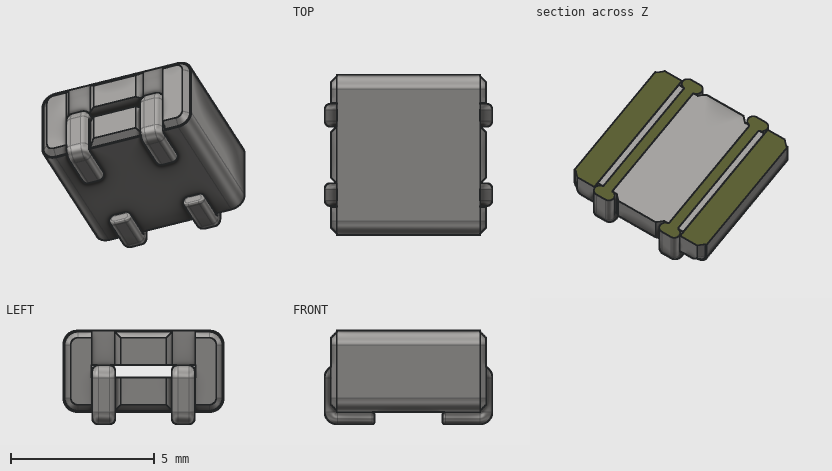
import cadquery as cq
import math

core_length = 5.0
core_width = 5.6
core_height = 2.85
corner_radius = 0.5

pad_thickness = 0.21
pad_inset = 0.05
pad_slope = 45
center_pad_width = 2.0
side_pad_inner_y = 1.81

wire_thickness = 0.43
wire_width = 0.81
wire_y = 1.385
inner_bend_radius = 0.01
foot_tip_x = 1.18
foot_tip_fillet = 0.1

core_bottom = wire_thickness
core_center = core_bottom + core_height / 2
wire_top = 2.07
window_bottom = wire_top - wire_thickness

core_end = core_length / 2
pad_end = core_end + pad_thickness
pad_height = core_height - 2 * pad_inset
section_radius = wire_thickness / 2
bend_radius = section_radius + inner_bend_radius


def make_core():
    return (
        cq.Workplane("XY")
        .box(core_length, core_width, core_height)
        .edges("|X")
        .fillet(corner_radius)
        .translate((0, 0, core_center))
    )


def end_plane():
    """Workplane on the core's +X end, centred on it and facing outward."""
    return cq.Workplane("YZ", origin=(core_end, 0, core_center))


def make_side_pads():
    """Rounded plate on the +X end with its middle stretch removed."""
    outline = cq.Sketch().rect(core_width - 2 * pad_inset, pad_height)
    outline = outline.vertices().fillet(corner_radius - pad_inset)
    plate = end_plane().placeSketch(outline).extrude(pad_thickness, taper=pad_slope)
    gap = end_plane().rect(2 * side_pad_inner_y, core_height).extrude(pad_thickness)
    return plate.cut(gap)


def make_center_pad():
    """Plate in the middle of the +X end, sloped on all four sides."""
    return end_plane().rect(center_pad_width, pad_height).extrude(pad_thickness, taper=pad_slope)


def make_end_pads():
    """All pads of the +X end."""
    return make_side_pads().union(make_center_pad())


def make_window():
    """Slot through the whole body along X, as tall as the wire is thick."""
    return (
        cq.Workplane("XY")
        .box(2 * pad_end, 2 * side_pad_inner_y, wire_thickness)
        .translate((0, 0, window_bottom + section_radius))
    )


def wire_section(plane):
    """Wire cross-section on a plane whose local X is the part's Y."""
    half_flat = wire_width / 2 - section_radius
    return (
        plane.moveTo(-half_flat, -section_radius)
        .lineTo(half_flat, -section_radius)
        .threePointArc((half_flat + section_radius, 0), (half_flat, section_radius))
        .lineTo(-half_flat, section_radius)
        .threePointArc((-half_flat - section_radius, 0), (-half_flat, -section_radius))
        .close()
    )


def wire_centerline():
    """C-shaped path in XZ: foot, upright, run through the window, upright, foot."""
    upright_x = core_end + section_radius
    bend_start_x = upright_x - bend_radius
    foot_z = section_radius
    run_z = wire_top - section_radius
    arc_offset = bend_radius * (1 - math.sqrt(0.5))
    outer_x = upright_x - arc_offset
    return (
        cq.Workplane("XZ")
        .moveTo(foot_tip_x, foot_z)
        .lineTo(bend_start_x, foot_z)
        .threePointArc((outer_x, foot_z + arc_offset), (upright_x, foot_z + bend_radius))
        .lineTo(upright_x, run_z - bend_radius)
        .threePointArc((outer_x, run_z - arc_offset), (bend_start_x, run_z))
        .lineTo(-bend_start_x, run_z)
        .threePointArc((-outer_x, run_z - arc_offset), (-upright_x, run_z - bend_radius))
        .lineTo(-upright_x, foot_z + bend_radius)
        .threePointArc((-outer_x, foot_z + arc_offset), (-bend_start_x, foot_z))
        .lineTo(-foot_tip_x, foot_z)
    )


def make_wire_loop():
    """Wire swept along its centerline, with both foot tips rounded."""
    foot_tip = cq.Workplane("YZ", origin=(foot_tip_x, 0, section_radius))
    loop = wire_section(foot_tip).sweep(wire_centerline())
    tip_faces = cq.selectors.BoxSelector(
        (-foot_tip_x - foot_tip_fillet, -wire_width, 0),
        (foot_tip_x + foot_tip_fillet, wire_width, wire_thickness),
    )
    return loop.faces(tip_faces).edges().fillet(foot_tip_fillet)


end_pads = make_end_pads()
body = make_core().union(end_pads).union(end_pads.mirror("YZ")).cut(make_window())
wire_loop = make_wire_loop()

result = body
for y in (-wire_y, wire_y):
    result = result.union(wire_loop.translate((0, y, 0)))